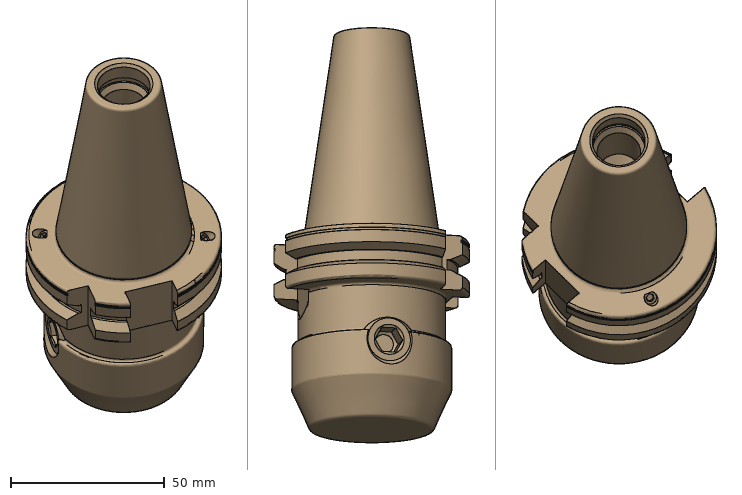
import cadquery as cq
import math

TOTAL_HEIGHT = 131.4

NOSE_RADIUS = 26.0
NOSE_TIP_RADIUS = 20.1
NOSE_CONE_TOP = 13.0
NOSE_TOP = 28.0
NOSE_TIP_ROUND = 1.6
NOSE_CONE_ROUND = 0.9
NOSE_SHOULDER_ROUND = 0.9
NECK_RADIUS = 24.0
NECK_ROUND = 0.8

FLANGE_RADIUS = 31.8
FLANGE_BOTTOM = 43.9
FLANGE_TOP = 62.0
FLANGE_ROUND = 0.9
GROOVE_CENTRE = 52.2
GROOVE_FLOOR_RADIUS = 27.9
GROOVE_HALF_MOUTH = 3.5
GROOVE_HALF_FLOOR = 1.7
GROOVE_WALL_ANGLE = 30.0
MARK_HEIGHT = 60.2
MARK_WIDTH = 0.8
MARK_DEPTH = 0.33

TAPER_RADIUS = 22.1
TAPER_SLOPE = 7 / 48
TAPER_START = 64.3
TAPER_BAND_BOTTOM = 63.3
TAPER_TOP_ROUND = 0.9
RELIEF_DEPTH = 0.3
TAPER_FOOT_ROUND = 1.2

BORE_MOUTH_RADIUS = 9.5
BORE_RADIUS = 8.5
BORE_DEPTH = 7.9
UNDERCUT_RADIUS = 9.1
UNDERCUT_WIDTH = 2.1
CORE_RADIUS = 7.1
CORE_CHAMFER_HEIGHT = 1.8
CORE_DEPTH = 26.3
DRILL_POINT_ANGLE = 118.0

SLOT_WIDTH = 16.2
DEEP_SLOT_DISTANCE = 22.9
SHALLOW_SLOT_DISTANCE = 25.1
NOTCH_DISTANCE = 18.5

COOLANT_PITCH_RADIUS = 27.1
COOLANT_ANGLE = 70.0
COOLANT_RADIUS = 2.1
COOLANT_TILT = 38.0
COOLANT_DEPTH = 1.3
PLUG_HEX_WIDTH = 2.4
PLUG_HEX_DEPTH = 1.3

SCREW_HEIGHT = 25.0
SCREW_FACE_DISTANCE = 24.5
SCREW_FACE_RADIUS = 7.1
SCREW_CONE_SLOPE = 0.9
SCREW_CONE_HEIGHT = 4.0
SOCKET_MOUTH_RADIUS = 5.0
SOCKET_HEX_WIDTH = 8.0
SOCKET_HEX_DEPTH = 6.6
SOCKET_FLOOR_RADIUS = 3.2
SOCKET_CHAMFER_DEPTH = 0.5
SOCKET_DEPTH = 7.4

CLEARANCE = 13.1


def revolve_outline(points):
    """Solid of revolution about Z from (radius, height) corners."""
    return cq.Workplane("XZ").polyline(points).close().revolve(360, (0, 0), (0, 1))


def round_rim(solid, radius, height, size):
    """Fillet the circular edge of the given radius and height."""
    margin = 0.01
    box = cq.selectors.BoxSelector(
        (-radius - margin, -radius - margin, height - margin),
        (radius + margin, radius + margin, height + margin),
        boundingbox=True,
    )
    rims = [edge for edge in solid.edges(box).vals() if abs(edge.BoundingBox().xmax - radius) < margin]
    return solid.newObject(rims).fillet(size)


def make_turned_body():
    """Nose, neck, grooved flange and taper as one turned solid with rounded rims."""
    groove_run = (GROOVE_HALF_MOUTH - GROOVE_HALF_FLOOR) / math.tan(math.radians(GROOVE_WALL_ANGLE))
    groove_ledge_radius = FLANGE_RADIUS - groove_run
    mark_radius = FLANGE_RADIUS - MARK_DEPTH
    taper_top_radius = TAPER_RADIUS - TAPER_SLOPE * (TOTAL_HEIGHT - TAPER_START)
    relief_radius = TAPER_RADIUS - RELIEF_DEPTH
    body = revolve_outline(
        [
            (0, 0),
            (NOSE_TIP_RADIUS, 0),
            (NOSE_RADIUS, NOSE_CONE_TOP),
            (NOSE_RADIUS, NOSE_TOP),
            (NECK_RADIUS, NOSE_TOP),
            (NECK_RADIUS, FLANGE_BOTTOM),
            (FLANGE_RADIUS, FLANGE_BOTTOM),
            (FLANGE_RADIUS, GROOVE_CENTRE - GROOVE_HALF_MOUTH),
            (groove_ledge_radius, GROOVE_CENTRE - GROOVE_HALF_FLOOR),
            (GROOVE_FLOOR_RADIUS, GROOVE_CENTRE - GROOVE_HALF_FLOOR),
            (GROOVE_FLOOR_RADIUS, GROOVE_CENTRE + GROOVE_HALF_FLOOR),
            (groove_ledge_radius, GROOVE_CENTRE + GROOVE_HALF_FLOOR),
            (FLANGE_RADIUS, GROOVE_CENTRE + GROOVE_HALF_MOUTH),
            (FLANGE_RADIUS, MARK_HEIGHT - MARK_WIDTH / 2),
            (mark_radius, MARK_HEIGHT - MARK_WIDTH / 2),
            (mark_radius, MARK_HEIGHT + MARK_WIDTH / 2),
            (FLANGE_RADIUS, MARK_HEIGHT + MARK_WIDTH / 2),
            (FLANGE_RADIUS, FLANGE_TOP),
            (relief_radius, FLANGE_TOP),
            (relief_radius, TAPER_BAND_BOTTOM),
            (TAPER_RADIUS, TAPER_BAND_BOTTOM),
            (TAPER_RADIUS, TAPER_START),
            (taper_top_radius, TOTAL_HEIGHT),
            (0, TOTAL_HEIGHT),
        ]
    )
    rims = [
        (NOSE_TIP_RADIUS, 0, NOSE_TIP_ROUND),
        (NOSE_RADIUS, NOSE_CONE_TOP, NOSE_CONE_ROUND),
        (NOSE_RADIUS, NOSE_TOP, NOSE_SHOULDER_ROUND),
        (NECK_RADIUS, NOSE_TOP, NECK_ROUND),
        (NECK_RADIUS, FLANGE_BOTTOM, NECK_ROUND),
        (FLANGE_RADIUS, FLANGE_BOTTOM, FLANGE_ROUND),
        (FLANGE_RADIUS, FLANGE_TOP, FLANGE_ROUND),
        (relief_radius, FLANGE_TOP, TAPER_FOOT_ROUND),
        (taper_top_radius, TOTAL_HEIGHT, TAPER_TOP_ROUND),
    ]
    for radius, height, size in rims:
        body = round_rim(body, radius, height, size)
    return body


def make_bore():
    """Chamfered, undercut bore with a narrower core ending in a drill point."""
    mouth_chamfer = BORE_MOUTH_RADIUS - BORE_RADIUS
    point_depth = CORE_RADIUS / math.tan(math.radians(DRILL_POINT_ANGLE / 2))
    bore_end = TOTAL_HEIGHT - BORE_DEPTH
    core_end = TOTAL_HEIGHT - CORE_DEPTH
    return revolve_outline(
        [
            (0, TOTAL_HEIGHT),
            (BORE_MOUTH_RADIUS, TOTAL_HEIGHT),
            (BORE_RADIUS, TOTAL_HEIGHT - mouth_chamfer),
            (BORE_RADIUS, bore_end + UNDERCUT_WIDTH),
            (UNDERCUT_RADIUS, bore_end + UNDERCUT_WIDTH),
            (UNDERCUT_RADIUS, bore_end),
            (BORE_RADIUS, bore_end),
            (CORE_RADIUS, bore_end - CORE_CHAMFER_HEIGHT),
            (CORE_RADIUS, core_end),
            (0, core_end - point_depth),
        ]
    )


def make_deep_slot():
    """Slot on the -X side that runs out below the flange in a half-round end."""
    straight_height = FLANGE_TOP - FLANGE_BOTTOM + CLEARANCE
    straight = cq.Workplane("XY").box(
        CLEARANCE, SLOT_WIDTH, straight_height, centered=(False, True, False)
    ).translate((0, 0, FLANGE_BOTTOM))
    end = cq.Workplane("YZ").center(0, FLANGE_BOTTOM).circle(SLOT_WIDTH / 2).extrude(CLEARANCE)
    return straight.union(end).translate((-DEEP_SLOT_DISTANCE - CLEARANCE, 0, 0))


def make_flange_cut(x_start, y_start, y_length):
    """Box through the whole flange height, running outward in +X."""
    height = FLANGE_TOP - FLANGE_BOTTOM
    return cq.Workplane("XY").box(
        FLANGE_RADIUS, y_length, height, centered=False
    ).translate((x_start, y_start, FLANGE_BOTTOM))


def hexagon(width):
    """Hexagon of the given width across flats, with flats facing +Y and -Y."""
    return cq.Workplane("XY").polygon(6, width / math.cos(math.radians(30)))


def make_coolant_hole(angle):
    """Plugged hole leaning inward towards the axis as it goes down."""
    hole = cq.Workplane("XY").circle(COOLANT_RADIUS).extrude(COOLANT_DEPTH + CLEARANCE / 2)
    plug_socket = hexagon(PLUG_HEX_WIDTH).extrude(-PLUG_HEX_DEPTH)
    hole = hole.union(plug_socket).translate((0, 0, -COOLANT_DEPTH))
    hole = hole.rotate((0, 0, 0), (0, 1, 0), COOLANT_TILT)
    hole = hole.translate((COOLANT_PITCH_RADIUS, 0, FLANGE_TOP))
    return hole.rotate((0, 0, 0), (0, 0, 1), angle)


def place_on_screw_axis(solid):
    """Move a solid standing on the origin so its +Z points along -Y at the screw face."""
    return solid.rotate((0, 0, 0), (1, 0, 0), 90).translate((0, -SCREW_FACE_DISTANCE, SCREW_HEIGHT))


def make_screw_cone(height):
    """Cone widening away from the screw face, outward for a positive height and inward for a negative one."""
    wide_radius = SCREW_FACE_RADIUS + SCREW_CONE_SLOPE * abs(height)
    return revolve_outline([(0, 0), (SCREW_FACE_RADIUS, 0), (wide_radius, height), (0, height)])


def make_screw_socket():
    """Hexagon socket with a chamfered mouth and a conical run-out to a flat floor."""
    hex_corner_radius = SOCKET_HEX_WIDTH / 2 / math.cos(math.radians(30))
    mouth = revolve_outline(
        [
            (0, 0),
            (SOCKET_MOUTH_RADIUS, 0),
            (SOCKET_HEX_WIDTH / 2, -SOCKET_CHAMFER_DEPTH),
            (0, -SOCKET_CHAMFER_DEPTH),
        ]
    )
    run_out = revolve_outline(
        [
            (0, 0),
            (hex_corner_radius, 0),
            (hex_corner_radius, -SOCKET_HEX_DEPTH),
            (SOCKET_FLOOR_RADIUS, -SOCKET_DEPTH),
            (0, -SOCKET_DEPTH),
        ]
    )
    return hexagon(SOCKET_HEX_WIDTH).extrude(-SOCKET_DEPTH).intersect(run_out).union(mouth)


def add_clamping_screw(body):
    """Flat screw face, countersunk into the nose and standing proud of the neck, with its socket."""
    body = body.cut(place_on_screw_axis(make_screw_cone(SCREW_CONE_HEIGHT)))
    body = body.union(place_on_screw_axis(make_screw_cone(-SCREW_CONE_HEIGHT)))
    return body.cut(place_on_screw_axis(make_screw_socket()))


result = make_turned_body().cut(make_bore()).cut(make_deep_slot())
result = result.cut(make_flange_cut(SHALLOW_SLOT_DISTANCE, -SLOT_WIDTH / 2, SLOT_WIDTH))
result = result.cut(make_flange_cut(NOTCH_DISTANCE, -NOTCH_DISTANCE - CLEARANCE, CLEARANCE))
for side_angle in (COOLANT_ANGLE, COOLANT_ANGLE + 180):
    result = result.cut(make_coolant_hole(side_angle))
result = add_clamping_screw(result)